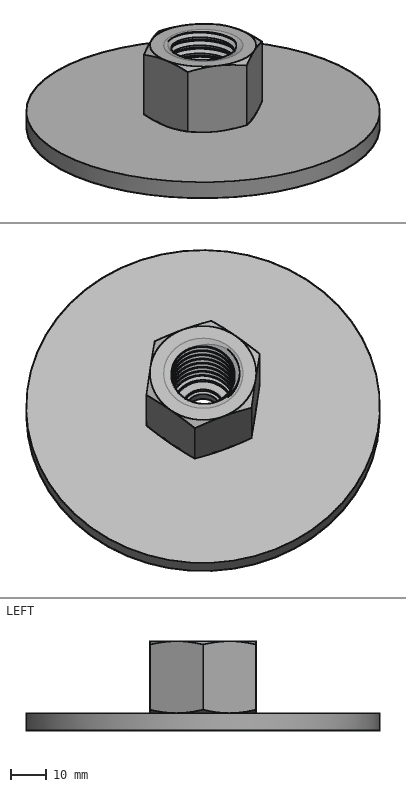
import cadquery as cq
import math

disc_diameter = 100
disc_thickness = 5
nut_height = 20.3

through_diameter = 10
inner_step_diameter = 12
inner_step_depth = 2
outer_step_diameter = 17
outer_step_depth = 1

nut_sides = 6
across_flats = 30
corner_chamfer_angle = 22
bore_diameter = 18
countersink_diameter = 22.4
countersink_angle = 15

thread_pitch = 2.5
flank_angle = 60
crest_flat = thread_pitch / 4
root_flat = thread_pitch / 8
groove_overlap = 0.2
thread_lead_in = 3.7

nut_top = disc_thickness + nut_height


def cylinder(diameter, bottom, top):
    """Vertical cylinder on the Z axis."""
    return cq.Workplane("XY").workplane(offset=bottom).circle(diameter / 2).extrude(top - bottom)


def make_disc():
    """Round plate with a stepped hole that narrows downward."""
    disc = cylinder(disc_diameter, 0, disc_thickness)
    disc = disc.cut(cylinder(through_diameter, 0, disc_thickness))
    disc = disc.cut(cylinder(inner_step_diameter, disc_thickness - inner_step_depth, disc_thickness))
    return disc.cut(cylinder(outer_step_diameter, disc_thickness - outer_step_depth, disc_thickness))


def turned_body(end_radius, middle_radius, end_angle):
    """Body of revolution as tall as the nut: a cylinder with a cone at each end."""
    cone_height = abs(middle_radius - end_radius) * math.tan(math.radians(end_angle))
    return (
        cq.Workplane("XZ")
        .moveTo(0, disc_thickness)
        .lineTo(end_radius, disc_thickness)
        .lineTo(middle_radius, disc_thickness + cone_height)
        .lineTo(middle_radius, nut_top - cone_height)
        .lineTo(end_radius, nut_top)
        .lineTo(0, nut_top)
        .close()
        .revolve(360, (0, 0, 0), (0, 1, 0))
    )


def make_hexagon():
    """Hexagonal prism whose corners are turned to a cone at both ends."""
    corner_radius = across_flats / 2 / math.cos(math.pi / nut_sides)
    prism = (
        cq.Workplane("XY")
        .workplane(offset=disc_thickness)
        .polygon(nut_sides, 2 * corner_radius)
        .extrude(nut_height)
    )
    return prism.intersect(turned_body(across_flats / 2, corner_radius, corner_chamfer_angle))


def make_bore():
    """Bore with a conical countersink at both ends."""
    return turned_body(countersink_diameter / 2, bore_diameter / 2, countersink_angle)


def make_thread_groove():
    """Helical groove with sloping walls that runs out past both ends of the nut."""
    bore_radius = bore_diameter / 2
    wall_slope = math.tan(math.radians(flank_angle / 2))
    half_root = root_flat / 2
    half_mouth = (thread_pitch - crest_flat) / 2
    root_radius = bore_radius + (half_mouth - half_root) / wall_slope
    inner_radius = bore_radius - groove_overlap
    half_inner = half_mouth + groove_overlap * wall_slope
    helix = cq.Wire.makeHelix(thread_pitch, nut_height + 2 * thread_lead_in, bore_radius)
    groove = (
        cq.Workplane("XZ")
        .moveTo(inner_radius, -half_inner)
        .lineTo(root_radius, -half_root)
        .lineTo(root_radius, half_root)
        .lineTo(inner_radius, half_inner)
        .close()
        .sweep(cq.Workplane(obj=helix), isFrenet=True)
    )
    return groove.translate((0, 0, disc_thickness - thread_lead_in))


def make_nut():
    """Hexagon nut threaded from end to end."""
    return make_hexagon().cut(make_thread_groove()).cut(make_bore())


disc = make_disc()
nut = make_nut()
result = cq.Compound.makeCompound([disc.val(), nut.val()])